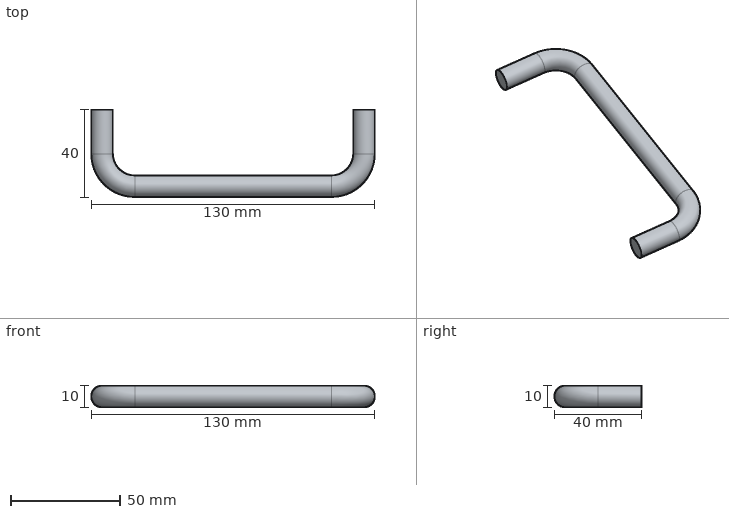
import cadquery as cq

length = 130.0
depth = 40.0
rod_diameter = 10.0
bend_radius = 15.0

rod_radius = rod_diameter / 2
leg_x = length / 2 - rod_radius
mount_y = depth / 2
grip_y = -depth / 2 + rod_radius
bend_y = grip_y + bend_radius
grip_end_x = leg_x - bend_radius

centreline = (
    cq.Workplane("XY")
    .moveTo(-leg_x, mount_y)
    .lineTo(-leg_x, bend_y)
    .radiusArc((-grip_end_x, grip_y), -bend_radius)
    .lineTo(grip_end_x, grip_y)
    .radiusArc((leg_x, bend_y), -bend_radius)
    .lineTo(leg_x, mount_y)
)

result = (
    cq.Workplane("XZ", origin=(-leg_x, mount_y, 0))
    .circle(rod_radius)
    .sweep(centreline)
)